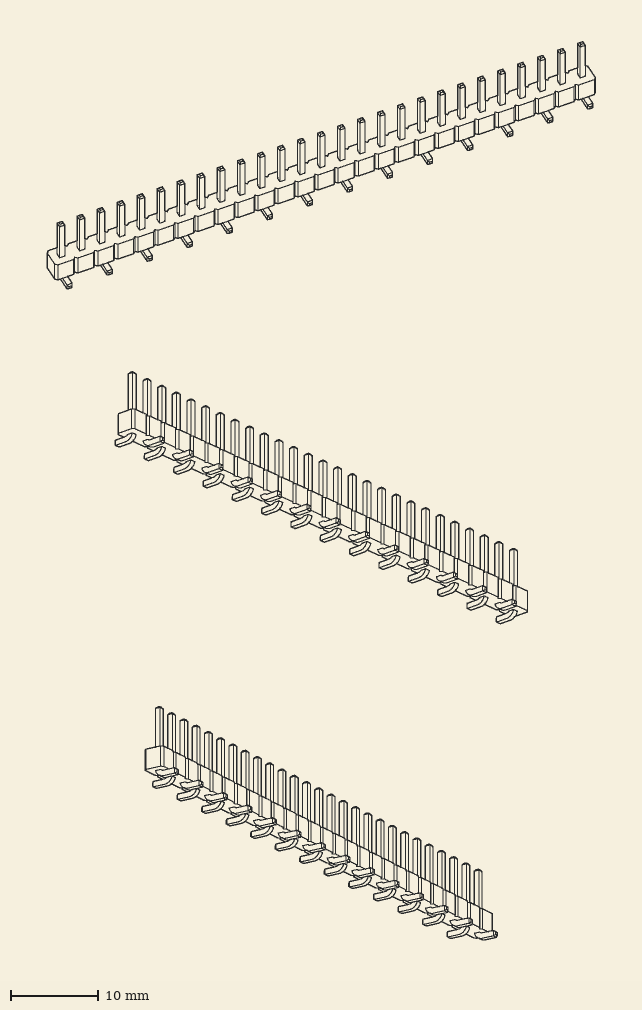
import cadquery as cq

row_length = 68.6
foot_span = 5.0
total_height = 8.6

pin_count = 27
pitch = row_length / pin_count
housing_width = 2.55
housing_height = 2.5
corner_chamfer = 0.3

pin_size = 0.665
tip_length = 0.2
tip_size = pin_size / 2
standoff = 0.8
bend_outer_radius = 1.1
bend_inner_radius = bend_outer_radius - pin_size

foot_reach = foot_span / 2
half_pin = pin_size / 2


def pin_position(index):
    """Place of a pin along the row, which is centred on the origin."""
    return (index - (pin_count - 1) / 2) * pitch


def housing():
    """Row of joined blocks, each with its four upright corners chamfered."""
    half_width = housing_width / 2
    neck_half_width = half_width - corner_chamfer
    half_flat = pitch / 2 - corner_chamfer
    right_side = []
    for index in range(pin_count):
        y = pin_position(index)
        right_side += [
            (neck_half_width, y - pitch / 2),
            (half_width, y - half_flat),
            (half_width, y + half_flat),
        ]
    right_side.append((neck_half_width, row_length / 2))
    left_side = [(-x, y) for x, y in reversed(right_side)]
    return (
        cq.Workplane("XY", origin=(0, 0, standoff))
        .polyline(right_side + left_side)
        .close()
        .extrude(housing_height)
    )


def tapered_tip(base):
    """Blunt pyramid that ends a pin, grown from the given plane."""
    return (
        cq.Workplane(base)
        .rect(pin_size, pin_size)
        .workplane(offset=tip_length)
        .rect(tip_size, tip_size)
        .loft(ruled=True)
    )


def bent_pin():
    """Pin centred on the Z axis whose foot points toward +X."""
    shank_top = total_height - tip_length
    foot_end = foot_reach - tip_length
    bend_centre_x = bend_outer_radius - half_pin
    bend_start = bend_outer_radius
    body = (
        cq.Workplane("XZ")
        .moveTo(-half_pin, shank_top)
        .lineTo(-half_pin, bend_start)
        .radiusArc((bend_centre_x, 0), -bend_outer_radius)
        .lineTo(foot_end, 0)
        .lineTo(foot_end, pin_size)
        .lineTo(bend_centre_x, pin_size)
        .radiusArc((half_pin, bend_start), bend_inner_radius)
        .lineTo(half_pin, shank_top)
        .close()
        .extrude(half_pin, both=True)
    )
    top_tip = tapered_tip(cq.Plane(origin=(0, 0, shank_top)))
    foot_plane = cq.Plane(origin=(foot_end, 0, half_pin), xDir=(0, 1, 0), normal=(1, 0, 0))
    foot_tip = tapered_tip(foot_plane)
    return body.union(top_tip).union(foot_tip)


right_pin = bent_pin().val()
left_pin = right_pin.mirror("YZ")
pins = []
for index in range(pin_count):
    pin = right_pin if index % 2 == 0 else left_pin
    pins.append(pin.translate(cq.Vector(0, pin_position(index), 0)))

result = cq.Workplane(housing().val().fuse(*pins))